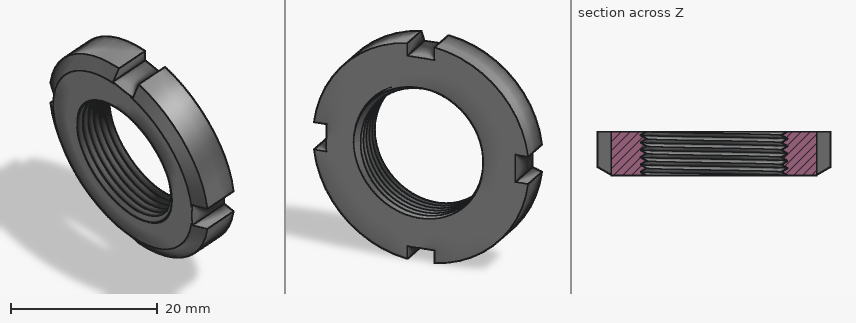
import cadquery as cq
import math

span = 31.75
thickness = 6.0
slot_width = 4.0
outer_radius = math.hypot(span / 2, slot_width / 2)
face_radius = 14.0
slot_floor_distance = face_radius
slot_count = 4
chamfer_angle = 30.0
chamfer_height = (outer_radius - face_radius) * math.tan(math.radians(chamfer_angle))

thread_turns = 6
pitch = thickness / thread_turns
root_radius = 10.0
crest_radius = 9.18
extra_turns = 2


def make_blank():
    """Solid disc with a conical edge, standing on Z."""
    profile = [
        (0, 0),
        (outer_radius, 0),
        (outer_radius, thickness - chamfer_height),
        (face_radius, thickness),
        (0, thickness),
    ]
    return cq.Workplane("XZ").polyline(profile).close().revolve(360, (0, 0), (0, 1))


def make_slot(angle):
    """Spanner slot cutter running through the full thickness."""
    cutter_length = outer_radius - slot_floor_distance + 0.32
    return (
        cq.Workplane("XY")
        .center(slot_floor_distance + cutter_length / 2, 0)
        .rect(cutter_length, slot_width)
        .extrude(thickness)
        .rotate((0, 0, 0), (0, 0, 1), angle)
    )


def helix_turn(radius, start_z):
    """One right-hand turn of a helix, starting above +X."""
    return cq.Wire.makeHelix(pitch, pitch, radius, center=cq.Vector(0, 0, start_z)).Edges()[0]


def make_turn_end(start_z):
    """Closing faces at one end of the thread: a radial wall and a ramp to the axis."""
    end_z = start_z + pitch
    wall_corners = [
        (0, 0, start_z),
        (root_radius, 0, start_z),
        (crest_radius, 0, start_z + pitch / 2),
        (root_radius, 0, end_z),
        (0, 0, end_z),
    ]
    wall = cq.Face.makeFromWires(cq.Wire.makePolygon(wall_corners, close=True))
    axis = cq.Edge.makeLine(cq.Vector(0, 0, start_z), cq.Vector(0, 0, end_z))
    ramp = cq.Face.makeRuledSurface(axis, helix_turn(root_radius, start_z))
    return [wall, ramp]


def make_threaded_bore():
    """Cutter for a right-hand V thread, running past both faces of the nut."""
    bottom_z = -extra_turns * pitch
    turns = thread_turns + extra_turns * 2 - 1
    faces = []
    for turn in range(turns):
        root_z = bottom_z + turn * pitch
        lower_root = helix_turn(root_radius, root_z)
        crest = helix_turn(crest_radius, root_z + pitch / 2)
        upper_root = helix_turn(root_radius, root_z + pitch)
        faces.append(cq.Face.makeRuledSurface(lower_root, crest))
        faces.append(cq.Face.makeRuledSurface(crest, upper_root))
    faces += make_turn_end(bottom_z)
    faces += make_turn_end(bottom_z + turns * pitch)
    return cq.Workplane(cq.Solid.makeSolid(cq.Shell.makeShell(faces)))


nut = make_blank()
for index in range(slot_count):
    nut = nut.cut(make_slot(index * 360 / slot_count))
nut = nut.cut(make_threaded_bore())

result = nut.solids().rotate((0, 0, 0), (1, 0, 0), 90)